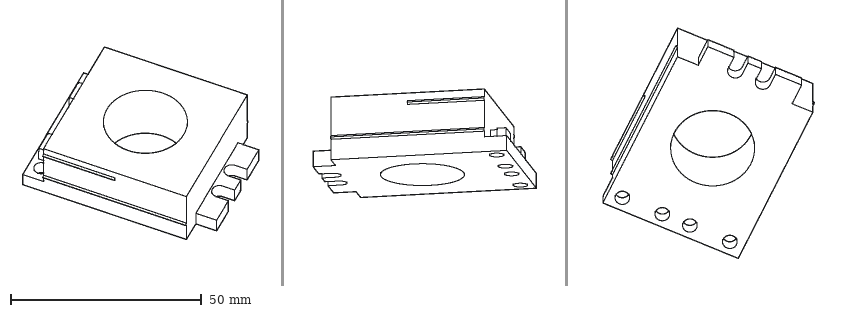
import cadquery as cq

total_length = 53.0
total_width = 40.0
body_width = 39.0
body_height = 17.0
ledge_length = 6.0
body_length = total_length - 2 * ledge_length
bore_diameter = 22.0

body_left = -body_length / 2
body_right = body_length / 2
part_left = -total_length / 2
part_right = total_length / 2

ledge_height = 4.05
hole_diameter = 3.8
hole_inset = 3.5
inner_hole_y = 4.0
outer_hole_y = 15.5

lug_top = 8.05
lug_y = 9.75
lug_bar_inset = 1.5
lug_bar_inner_inset = 4.0
lug_bar_width = 6.1
lug_stem_width = 3.15
lug_draft = 0.13

tab_width = 27.05
tab_height = 4.25
slot_width = 4.05
slot_inset = 3.5

ridge_height = (total_width - body_width) / 2
ridge_base = 1.0
lower_ridge_z = 6.05
upper_ridge_z = 14.4
upper_ridge_length = body_length / 2


def block(x_start, length, width, height):
    """Box on the bottom plane, centred across Y."""
    return cq.Workplane("XY").box(length, width, height, centered=(False, True, False)).translate((x_start, 0, 0))


def lug_outline(shrink):
    """T outline from the body wall outwards, with its drafted sides moved in by shrink."""
    bar_outer_x = part_left + lug_bar_inset + shrink
    bar_inner_x = part_left + lug_bar_inner_inset
    bar_half = lug_bar_width / 2 - shrink
    stem_half = lug_stem_width / 2 - shrink
    return [
        (body_left, -stem_half),
        (body_left, stem_half),
        (bar_inner_x, stem_half),
        (bar_inner_x, bar_half),
        (bar_outer_x, bar_half),
        (bar_outer_x, -bar_half),
        (bar_inner_x, -bar_half),
        (bar_inner_x, -stem_half),
    ]


def lug(y):
    """Tapered T lug standing on the ledge."""
    base = cq.Workplane("XY").workplane(offset=ledge_height).polyline(lug_outline(0)).close()
    top = base.workplane(offset=lug_top - ledge_height).polyline(lug_outline(lug_draft)).close()
    return top.loft(ruled=True, combine=True).translate((0, y, 0))


def ridge(side, z, length):
    """Triangular ridge starting at the -X end of the body; side is +1 or -1 in Y."""
    wall_y = side * body_width / 2
    profile = [
        (wall_y, z - ridge_base / 2),
        (wall_y + side * ridge_height, z),
        (wall_y, z + ridge_base / 2),
    ]
    return cq.Workplane("YZ", origin=(body_left, 0, 0)).polyline(profile).close().extrude(length)


result = block(body_left, body_length, body_width, body_height)
result = result.union(block(part_left, ledge_length, body_width, ledge_height))
result = result.union(block(body_right, ledge_length, tab_width, tab_height))

for side in (-1, 1):
    result = result.union(lug(side * lug_y))
    result = result.union(ridge(side, lower_ridge_z, body_length))
    result = result.union(ridge(side, upper_ridge_z, upper_ridge_length))

result = result.cut(cq.Workplane("XY").circle(bore_diameter / 2).extrude(body_height))

hole_points = [(part_left + hole_inset, side * y) for side in (-1, 1) for y in (inner_hole_y, outer_hole_y)]
holes = cq.Workplane("XY").pushPoints(hole_points).circle(hole_diameter / 2).extrude(ledge_height)
result = result.cut(holes)

slot_center_x = part_right - slot_inset
for side in (-1, 1):
    round_end = cq.Workplane("XY").circle(slot_width / 2).extrude(tab_height)
    slot = round_end.translate((slot_center_x, 0, 0)).union(block(slot_center_x, slot_inset, slot_width, tab_height))
    result = result.cut(slot.translate((0, side * inner_hole_y, 0)))